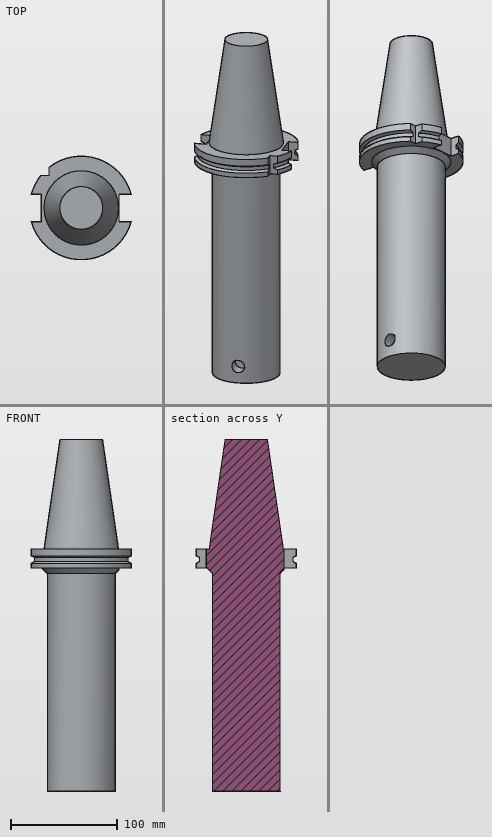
import cadquery as cq
import math

gauge_diameter = 69.85
taper_length = 101.75
taper_ratio = 7 / 24
nose_length = 229.0

flange_diameter = 97.5
flange_top_z = -1.0
flange_bottom_z = -19.1

groove_center_z = -11.1
groove_floor_diameter = 91.6
groove_mouth_width = 7.0
groove_flank_angle = 30.0

body_diameter = 64.0
collar_diameter = 74.6
collar_angle = 45.0

slot_width = 25.7
left_slot_floor_x = -37.7
right_slot_floor_x = 35.5
notch_corner_x = -30.4
notch_corner_y = 30.7

radial_hole_diameter = 12.3
radial_hole_height = 16.5
radial_hole_depth = 14.0

gauge_radius = gauge_diameter / 2
tip_radius = gauge_radius - taper_length * taper_ratio / 2
flange_radius = flange_diameter / 2
groove_floor_radius = groove_floor_diameter / 2
groove_flank_rise = (flange_radius - groove_floor_radius) * math.tan(math.radians(groove_flank_angle))
groove_mouth_half = groove_mouth_width / 2
groove_floor_half = groove_mouth_half - groove_flank_rise
body_radius = body_diameter / 2
collar_radius = collar_diameter / 2
collar_bottom_z = flange_bottom_z - (collar_radius - body_radius) * math.tan(math.radians(collar_angle))


def make_turned_body():
    """Revolve the half profile of taper, flange, collar and body about Z."""
    profile = [
        (0, taper_length),
        (tip_radius, taper_length),
        (gauge_radius, 0),
        (gauge_radius, flange_top_z),
        (flange_radius, flange_top_z),
        (flange_radius, groove_center_z + groove_mouth_half),
        (groove_floor_radius, groove_center_z + groove_floor_half),
        (groove_floor_radius, groove_center_z - groove_floor_half),
        (flange_radius, groove_center_z - groove_mouth_half),
        (flange_radius, flange_bottom_z),
        (collar_radius, flange_bottom_z),
        (body_radius, collar_bottom_z),
        (body_radius, -nose_length),
        (0, -nose_length),
    ]
    return cq.Workplane("XZ").polyline(profile).close().revolve(360, (0, 0, 0), (0, 1, 0))


def rim_cutter(x_start, x_end, y_start, y_end):
    """Block through the full height of flange and collar between two corners."""
    return (
        cq.Workplane("XY")
        .box(x_end - x_start, y_end - y_start, flange_top_z - collar_bottom_z, centered=False)
        .translate((x_start, y_start, collar_bottom_z))
    )


def cut_rim(part):
    """Cut the two drive slots and the corner notch, all open at the rim."""
    half_slot = slot_width / 2
    left_slot = rim_cutter(-flange_radius, left_slot_floor_x, -half_slot, half_slot)
    right_slot = rim_cutter(right_slot_floor_x, flange_radius, -half_slot, half_slot)
    notch = rim_cutter(-flange_radius, notch_corner_x, notch_corner_y, flange_radius)
    return part.cut(left_slot).cut(right_slot).cut(notch)


def cut_radial_hole(part):
    """Drill the blind hole inward from the +Y side of the body."""
    axis_z = radial_hole_height - nose_length
    hole = cq.Solid.makeCylinder(
        radial_hole_diameter / 2,
        radial_hole_depth,
        cq.Vector(0, body_radius, axis_z),
        cq.Vector(0, -1, 0),
    )
    return part.cut(cq.Workplane("XY").add(hole))


result = cut_radial_hole(cut_rim(make_turned_body()))